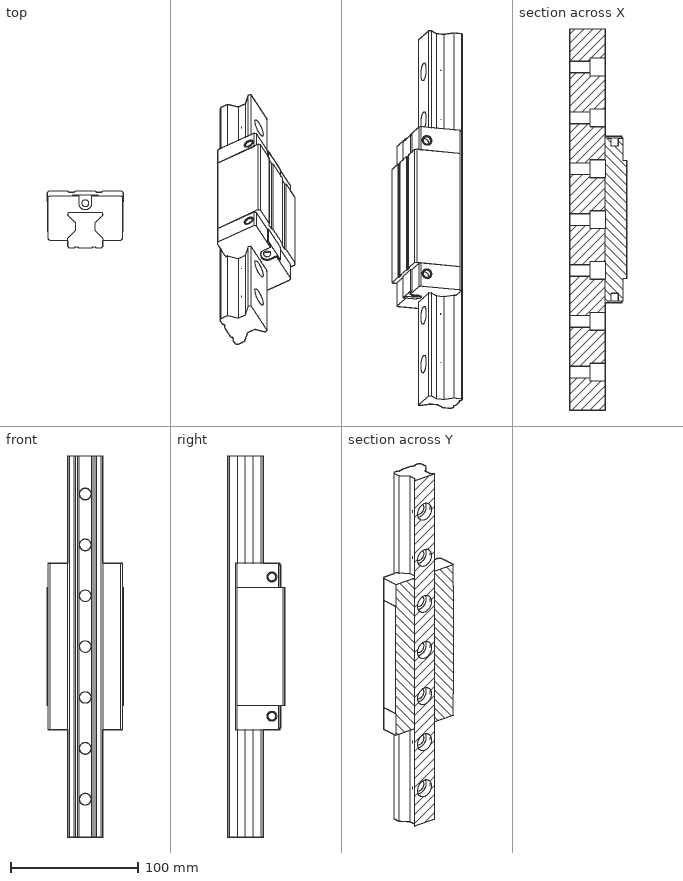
import cadquery as cq

rail_length = 300.0
rail_width = 28.0
rail_height = 28.2
rail_top_width = 26.5
head_edge = 26.0
rail_foot_chamfer = 1.5
waist_width = 15.5
waist_bottom = 13.8
waist_top = 20.0
foot_groove_outer = 8.7
foot_groove_inner = 5.0
foot_groove_slope = 1.0

bolt_count = 7
bolt_end_margin = 30.0
bolt_pitch = (rail_length - 2 * bolt_end_margin) / (bolt_count - 1)
bolt_hole_diameter = 9.0
bolt_head_diameter = 13.8
bolt_head_depth = 12.0

block_width = 60.0
block_length = 93.0
carriage_length = 131.0
carriage_bottom = 6.0
carriage_top = 45.0
block_chamfer = 1.5
top_groove_outer = 13.8
top_groove_inner = 7.8
top_groove_slope = 1.0
cap_width = 58.8
cap_top = 41.0
cap_bottom_chamfer = 1.5
cap_top_chamfer = 1.2
cap_length = (carriage_length - block_length) / 2

pad_width = 19.8
pad_height = 1.0
pad_setback = 1.5
port_height = 35.5
port_recess_width = 10.2
port_recess_depth = 1.5
port_diameter = 5.5
port_depth = 6.0
side_port_height = 34.8
side_port_inset = 10.8
side_port_diameter = 6.0
side_port_depth = 6.0
side_port_rim_diameter = 7.8
side_port_rim_depth = 0.5


def mirrored_profile(half_points):
    """Close a right-hand outline with its mirror image across X = 0."""
    left = [(-x, y) for x, y in reversed(half_points)]
    return cq.Workplane("XY").polyline(half_points + left).close()


def centred_box(width, bottom, top, length):
    """Box centred on X and Z, between two heights."""
    return cq.Workplane("XY").box(width, top - bottom, length).translate((0, (bottom + top) / 2, 0))


def make_rail_bar():
    """Rail without bolt holes."""
    half = rail_width / 2
    waist = waist_width / 2
    foot_shoulder = waist_bottom - (half - waist)
    outline = [
        (foot_groove_inner, 0),
        (foot_groove_inner + foot_groove_slope, foot_groove_slope),
        (foot_groove_outer - foot_groove_slope, foot_groove_slope),
        (foot_groove_outer, 0),
        (half - rail_foot_chamfer, 0),
        (half, rail_foot_chamfer),
        (half, foot_shoulder),
        (waist, waist_bottom),
        (waist, waist_top),
        (half, head_edge),
        (rail_top_width / 2, rail_height),
    ]
    return mirrored_profile(outline).extrude(rail_length / 2, both=True)


def make_rail(bar):
    """Rail with a row of counterbored bolt holes, heads sunk into its top."""
    first_bolt = bolt_end_margin - rail_length / 2
    down = cq.Vector(0, -1, 0)
    rail = bar
    for index in range(bolt_count):
        head_centre = cq.Vector(0, rail_height, first_bolt + index * bolt_pitch)
        shank = cq.Solid.makeCylinder(bolt_hole_diameter / 2, rail_height, head_centre, down)
        head = cq.Solid.makeCylinder(bolt_head_diameter / 2, bolt_head_depth, head_centre, down)
        rail = rail.cut(cq.Workplane(shank)).cut(cq.Workplane(head))
    return rail


def make_block():
    """Central block, with drafted sides and two shallow grooves along its top."""
    half = block_width / 2
    groove_floor = carriage_top - top_groove_slope
    outline = [
        (cap_width / 2 - cap_bottom_chamfer, carriage_bottom),
        (cap_width / 2, carriage_bottom + cap_bottom_chamfer),
        (half, carriage_top - block_chamfer),
        (half - block_chamfer, carriage_top),
        (top_groove_outer, carriage_top),
        (top_groove_outer - top_groove_slope, groove_floor),
        (top_groove_inner + top_groove_slope, groove_floor),
        (top_groove_inner, carriage_top),
    ]
    return mirrored_profile(outline).extrude(block_length / 2, both=True)


def make_upper_cap():
    """End cap at the +Z end of the block."""
    outer_face = carriage_length / 2
    cap = (
        centred_box(cap_width, carriage_bottom, cap_top, cap_length)
        .edges("|Z and <Y").chamfer(cap_bottom_chamfer)
        .edges("|Z and >Y").chamfer(cap_top_chamfer)
        .translate((0, 0, outer_face - cap_length / 2))
    )

    pad_length = cap_length - pad_setback
    pad = centred_box(pad_width, port_height, cap_top + pad_height, pad_length)
    cap = cap.union(pad.translate((0, 0, outer_face - pad_setback - pad_length / 2)))

    face = cq.Workplane("XY", origin=(0, port_height, outer_face))
    radius = port_recess_width / 2
    rise = cap_top + pad_height - port_height
    recess = (
        face.moveTo(-radius, rise).lineTo(-radius, 0)
        .threePointArc((0, -radius), (radius, 0))
        .lineTo(radius, rise).close().extrude(-port_recess_depth)
    )
    port = face.circle(port_diameter / 2).extrude(-port_recess_depth - port_depth)
    cap = cap.cut(recess).cut(port)

    for side in (-1, 1):
        mouth = cq.Vector(side * cap_width / 2, side_port_height, outer_face - side_port_inset)
        inward = cq.Vector(-side, 0, 0)
        bore = cq.Solid.makeCylinder(side_port_diameter / 2, side_port_depth, mouth, inward)
        rim = cq.Solid.makeCylinder(side_port_rim_diameter / 2, side_port_rim_depth, mouth, inward)
        cap = cap.cut(cq.Workplane(bore)).cut(cq.Workplane(rim))
    return cap


def make_carriage(bar):
    """Block with both end caps, cut to fit around the rail."""
    upper_cap = make_upper_cap()
    return make_block().union(upper_cap).union(upper_cap.mirror("XY")).cut(bar)


rail_bar = make_rail_bar()
rail = make_rail(rail_bar)
carriage = make_carriage(rail_bar)
result = cq.Compound.makeCompound([rail.val(), *carriage.solids().vals()])